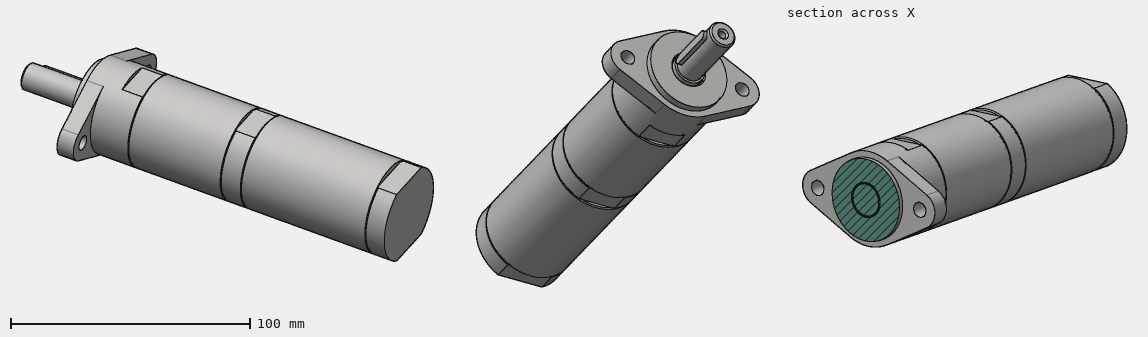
import cadquery as cq
import math

total_length = 184.2
body_diameter = 41.5
body_radius = body_diameter / 2

collar_start = 30.0
pilot_start = 31.1
flange_start = 34.5
flange_thickness = 8.0
front_neck_start = 50.7
neck_length = 9.8
gear_case_start = front_neck_start + neck_length
middle_neck_start = 105.0
motor_case_start = middle_neck_start + neck_length
end_cap_start = 174.8

neck_flat_width = 38.0
end_cap_flat_width = 36.0
joint_chamfer = 0.5

pilot_diameter = 36.0
seal_bore_diameter = 15.0
seal_bore_mouth = 16.0
seal_bore_depth = 1.8
collar_diameter = 14.0

shaft_diameter = 12.0
shaft_chamfer = 0.7
centre_hole_diameter = 3.3
centre_hole_mouth = 5.0
centre_hole_depth = 9.2
drill_point_angle = 118.0

key_start = 3.0
key_length = 25.0
key_width = 4.0
key_height = 4.0
key_top = 7.5

flange_span = 70.0
ear_radius = 8.01
ear_offset = flange_span / 2 - ear_radius
mounting_hole_diameter = 6.5


def cylinder(start, end, diameter):
    """Round bar along X between two stations."""
    return cq.Workplane("YZ", origin=(start, 0, 0)).circle(diameter / 2).extrude(end - start)


def body_section(start, end, flat_width=None, chamfer=None):
    """Body length with an optional chamfer on its front edge and optional top and bottom flats."""
    section = cylinder(start, end, body_diameter)
    if chamfer:
        section = section.faces("<X").chamfer(chamfer)
    if flat_width:
        slab = cq.Workplane("XY").box(total_length, body_diameter, flat_width)
        section = section.intersect(slab.translate((total_length / 2, 0, 0)))
    return section


def flange():
    """Two ears with straight sides that leave the body circle as tangents; the body fills the middle."""
    lean = math.asin((body_radius - ear_radius) / ear_offset)
    body_y, body_z = body_radius * math.sin(lean), body_radius * math.cos(lean)
    ear_y, ear_z = ear_offset + ear_radius * math.sin(lean), ear_radius * math.cos(lean)
    ear_tip = flange_span / 2
    plate = (
        cq.Workplane("YZ", origin=(flange_start, 0, 0))
        .moveTo(-body_y, body_z)
        .lineTo(body_y, body_z)
        .lineTo(ear_y, ear_z)
        .threePointArc((ear_tip, 0), (ear_y, -ear_z))
        .lineTo(body_y, -body_z)
        .lineTo(-body_y, -body_z)
        .lineTo(-ear_y, -ear_z)
        .threePointArc((-ear_tip, 0), (-ear_y, ear_z))
        .close()
        .extrude(flange_thickness)
    )
    holes = (
        cq.Workplane("YZ", origin=(flange_start, 0, 0))
        .pushPoints([(-ear_offset, 0), (ear_offset, 0)])
        .circle(mounting_hole_diameter / 2)
        .extrude(flange_thickness)
    )
    return plate.cut(holes)


def seal_bore():
    """Blind bore in the pilot face, widened at its mouth by a 45 degree chamfer."""
    bore_radius = seal_bore_diameter / 2
    mouth_radius = seal_bore_mouth / 2
    chamfer_end = pilot_start + mouth_radius - bore_radius
    bore_end = pilot_start + seal_bore_depth
    return (
        cq.Workplane("XY")
        .polyline([
            (pilot_start, 0),
            (pilot_start, mouth_radius),
            (chamfer_end, bore_radius),
            (bore_end, bore_radius),
            (bore_end, 0),
        ])
        .close()
        .revolve(360, (0, 0, 0), (1, 0, 0))
    )


def centre_hole():
    """Drilled hole in the shaft tip with a 90 degree countersink and a drill-point bottom."""
    hole_radius = centre_hole_diameter / 2
    mouth_radius = centre_hole_mouth / 2
    point_length = hole_radius / math.tan(math.radians(drill_point_angle / 2))
    return (
        cq.Workplane("XY")
        .polyline([
            (0, 0),
            (0, mouth_radius),
            (mouth_radius - hole_radius, hole_radius),
            (centre_hole_depth, hole_radius),
            (centre_hole_depth + point_length, 0),
        ])
        .close()
        .revolve(360, (0, 0, 0), (1, 0, 0))
    )


def shaft():
    """Output shaft with chamfered tip, seal collar, round-ended key on +Y and centre hole."""
    seal_bore_end = pilot_start + seal_bore_depth
    bar = cylinder(0, seal_bore_end, shaft_diameter).faces("<X").chamfer(shaft_chamfer)
    collar = cylinder(collar_start, seal_bore_end, collar_diameter)
    key = (
        cq.Workplane("XZ", origin=(key_start + key_length / 2, key_top, 0))
        .slot2D(key_length, key_width)
        .extrude(key_height)
    )
    return bar.union(collar).union(key).cut(centre_hole())


result = (
    cylinder(pilot_start, flange_start, pilot_diameter)
    .union(flange())
    .union(body_section(flange_start, front_neck_start))
    .union(body_section(front_neck_start, gear_case_start, neck_flat_width))
    .union(body_section(gear_case_start, middle_neck_start, chamfer=joint_chamfer))
    .union(body_section(middle_neck_start, motor_case_start, neck_flat_width, joint_chamfer))
    .union(body_section(motor_case_start, end_cap_start, chamfer=joint_chamfer))
    .union(body_section(end_cap_start, total_length, end_cap_flat_width, joint_chamfer))
    .cut(seal_bore())
    .union(shaft())
)